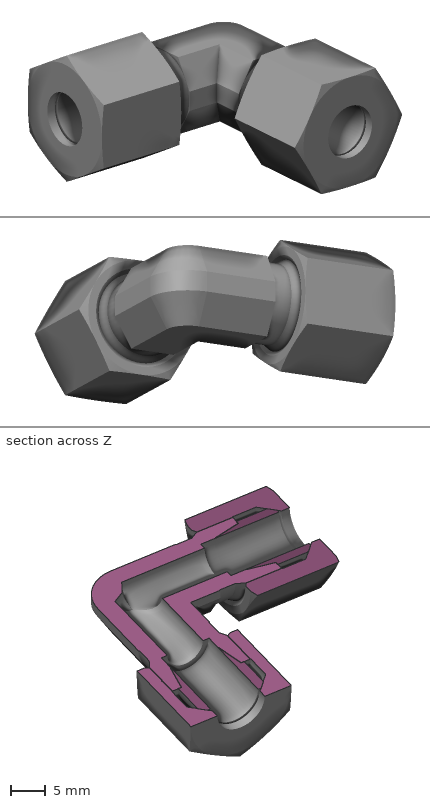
import cadquery as cq
import math


block_half = 6.0
block_end = 11.0
side_flat_half = 1.5
bevel_angle = 60.0
top_flat_half = block_half - (block_half - side_flat_half) / math.tan(math.radians(bevel_angle))

neck_radius = 5.9
neck_end = 13.6
neck_flare_angle = 30.0
stub_radius = 6.65
stub_end = 21.0
flare_end = neck_end + (stub_radius - neck_radius) / math.tan(math.radians(neck_flare_angle))

bore_radius = 3.0
drill_half_angle = 60.0
drill_tip = bore_radius / math.tan(math.radians(drill_half_angle))
tube_radius = 4.0
tube_stop = 14.0
seal_half_angle = 12.0
seal_mouth_radius = 5.0
seal_slope = math.tan(math.radians(seal_half_angle))
seal_start = stub_end - (seal_mouth_radius - tube_radius) / seal_slope

nut_flats = 17.0
nut_corner_radius = nut_flats / 2 / math.cos(math.radians(30))
nut_start = 14.5
nut_end = 29.0
nut_chamfer_angle = 15.0
nut_mouth_radius = 7.25
nut_mouth_half_angle = 60.0
nut_mouth_depth = (nut_mouth_radius - stub_radius) / math.tan(math.radians(nut_mouth_half_angle))
nut_shoulder = 27.6
nut_seat = nut_shoulder - (stub_radius - tube_radius)

ring_radius = 5.6
ring_end_gap = 0.4
ring_end = nut_shoulder - ring_end_gap
ring_end_radius = tube_radius + ring_end_gap
ring_seat = nut_shoulder - (ring_radius - tube_radius)


def turned(profile):
    """Solid of revolution about the X axis from (position along X, radius) points."""
    return cq.Workplane("XY").polyline(profile).close().revolve(360, (0, 0, 0), (1, 0, 0))


def to_port(body, turn):
    """Turn a body about Z from the X axis into its port."""
    return body.rotate((0, 0, 0), (0, 0, 1), turn)


def make_leg():
    outline = [
        (block_half, side_flat_half),
        (top_flat_half, block_half),
        (-top_flat_half, block_half),
        (-block_half, side_flat_half),
        (-block_half, -side_flat_half),
        (-top_flat_half, -block_half),
        (top_flat_half, -block_half),
        (block_half, -side_flat_half),
    ]
    return cq.Workplane("YZ").polyline(outline).close().extrude(block_end)


def make_corner():
    """Rounded outer corner: the leg section spun about Z."""
    half_outline = [
        (0, -block_half),
        (top_flat_half, -block_half),
        (block_half, -side_flat_half),
        (block_half, side_flat_half),
        (top_flat_half, block_half),
        (0, block_half),
    ]
    return cq.Workplane("XZ").polyline(half_outline).close().revolve(360, (0, 0, 0), (0, 1, 0))


def make_stub():
    return turned([
        (block_end, 0),
        (block_end, neck_radius),
        (neck_end, neck_radius),
        (flare_end, stub_radius),
        (stub_end, stub_radius),
        (stub_end, 0),
    ])


def make_bore():
    """Drilled bore with its conical tip, the tube socket and the sealing cone."""
    return turned([
        (-drill_tip, 0),
        (0, bore_radius),
        (tube_stop, bore_radius),
        (tube_stop, tube_radius),
        (seal_start, tube_radius),
        (stub_end, seal_mouth_radius),
        (stub_end, 0),
    ])


def make_elbow(port_turns):
    elbow = make_corner()
    for turn in port_turns:
        elbow = elbow.union(to_port(make_leg(), turn))
    for turn in port_turns:
        elbow = elbow.union(to_port(make_stub(), turn))
    for turn in port_turns:
        elbow = elbow.cut(to_port(make_bore(), turn))
    return elbow


def make_nut():
    """Hexagon nut with two corners in the XY plane."""
    hexagon = (
        cq.Workplane("YZ", origin=(nut_start, 0, 0))
        .polygon(6, 2 * nut_corner_radius)
        .extrude(nut_end - nut_start)
    )
    chamfer_depth = (nut_corner_radius - nut_flats / 2) * math.tan(math.radians(nut_chamfer_angle))
    envelope = turned([
        (nut_start, 0),
        (nut_start, nut_flats / 2),
        (nut_start + chamfer_depth, nut_corner_radius),
        (nut_end - chamfer_depth, nut_corner_radius),
        (nut_end, nut_flats / 2),
        (nut_end, 0),
    ])
    cavity = turned([
        (nut_start, 0),
        (nut_start, nut_mouth_radius),
        (nut_start + nut_mouth_depth, stub_radius),
        (nut_seat, stub_radius),
        (nut_shoulder, tube_radius),
        (nut_end, tube_radius),
        (nut_end, 0),
    ])
    return hexagon.intersect(envelope).cut(cavity)


def make_cutting_ring():
    """Ring wedged between the sealing cone of the elbow and the conical seat of the nut."""
    return turned([
        (seal_start, tube_radius),
        (stub_end, seal_mouth_radius),
        (stub_end, ring_radius),
        (ring_seat, ring_radius),
        (ring_end, ring_end_radius),
        (ring_end, tube_radius),
    ])


ports = [(0, 0), (-90, 90)]
elbow = make_elbow([turn for turn, _ in ports])
bodies = [elbow.val()]
for turn, nut_roll in ports:
    nut = make_nut().rotate((0, 0, 0), (1, 0, 0), nut_roll)
    bodies.append(to_port(nut, turn).val())
    bodies.append(to_port(make_cutting_ring(), turn).val())

result = cq.Compound.makeCompound(bodies)